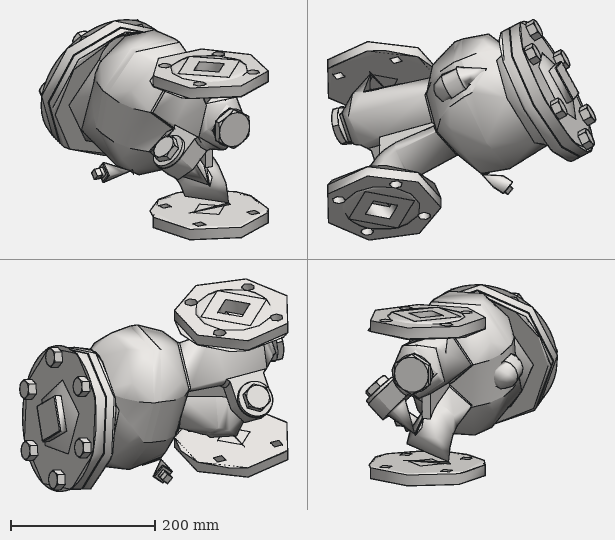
import cadquery as cq
import math

INLET_FILLET = 4.0
OUTLET_FILLET = 2.0
PIPE_FILLET = 3.0
COLUMN_FILLET = 4.0
DRAIN_FILLET = 3.0
JOINT_TOLERANCE = 0.05

FACE_TO_FACE = 230.0
FLANGE_DIA = 165.0
FLANGE_THICKNESS = 20.0
RAISED_FACE_DIA = 102.0
RAISED_FACE_HEIGHT = 3.0
RAISED_FACE_FILLET = 2.9
FLANGE_BACK_ROUND = 1.5
BORE_DIA = 50.0
BOLT_HOLE_DIA = 18.0
BOLT_HOLE_CIRCLE = 125.0
BOLT_HOLE_COUNT = 4
FIRST_BOLT_HOLE_ANGLE = 45.0
FLANGE_BACK = FACE_TO_FACE / 2 - FLANGE_THICKNESS

TILT = 15.0
TILT_SIN = math.sin(math.radians(TILT))
TILT_COS = math.cos(math.radians(TILT))
BODY_DIA = 144.5
BODY_RADIUS = BODY_DIA / 2
COVER_AXIS_T = -60.0
BULB_AXIS_T = 2.5
CHAMBER_START_S = -166.0
CHAMBER_END_S = -154.0
BULB_END_RISE = 1.8

COVER_DIA = 205.0
COVER_FACE_S = -264.2
COVER_THICKNESS = 18.0
COVER_CHAMFER = 1.0
GASKET_THICKNESS = 1.0
GASKET_DIA = 203.0
BODY_FLANGE_THICKNESS = 15.0
BODY_FLANGE_ROUND = 3.0
NECK_FLARE_DIA = 156.0
NECK_FLARE_LENGTH = 20.5
COLLAR_DIA = 79.0
COVER_CONE_DIA = 109.0
COVER_CONE_TOP_DIA = 75.0
COVER_CONE_HEIGHT = 7.0
COVER_BOSS_DIA = 73.0
COVER_BOSS_HEIGHT = 18.0
COVER_BOSS_CHAMFER = 1.5
COVER_BOLT_COUNT = 6
COVER_BOLT_CIRCLE = 170.0
COVER_BOLT_FLATS = 24.0
COVER_BOLT_HEAD = 12.6
COVER_BOLT_CORNER_ANGLE = 0.0

BULGE_RADIUS = 21.5
BULGE_AXIS_Y = 66.7
BULGE_AXIS_T = (COVER_AXIS_T + BULB_AXIS_T) / 2
BULGE_TIP_S = -195.0
BULGE_START_S = -159.0
BULGE_END_S = -135.0

INLET_PIPE_DIA = 80.0
INLET_AXIS_Z = 42.2
INLET_START_X = -130.0
INLET_CYLINDER_END_X = 32.5
INLET_END_X = 46.0
INLET_END_RADIUS = 31.0
INLET_END_ARC = 16.0
PLUG_NECK_DIA = 56.0
PLUG_NECK_END_X = 51.5
PLUG_NECK_FILLET = 8.0
PLUG_COLLAR_DIA = 54.0
PLUG_COLLAR_END_X = 54.8
PLUG_CORNER_ANGLE = 90.0
PLUG_FLATS = 49.5
PLUG_END_X = 65.3
NECK_PIPE_DIA = 65.0
NECK_LEAN = 22.0
NECK_LENGTH = 45.0

OUTLET_PIPE_DIA = 65.0
OUTLET_AXIS_T = -57.0
OUTLET_START_S = -130.0
OUTLET_END_S = -25.0
WEB_THICKNESS = 12.0

STRAINER_LEAN = 45.0
STRAINER_FACE_Y = -68.0
STRAINER_FACE_Z = 4.8
CAP_DIA = 50.0
CAP_THICKNESS = 5.5
CAP_HEX_FLATS = 33.5
CAP_HEX_HEIGHT = 10.0
CAP_CORNER_ANGLE = 90.0
HOLDER_DIA = 52.0
HOLDER_END_DEPTH = 35.0
HOLDER_FILLET = 4.0
COLUMN_DIA = 33.5

DRAIN_S = -126.0
DRAIN_T = -107.0
DRAIN_START_Y = 0.0
DRAIN_BOSS_DIA = 30.0
DRAIN_BOSS_END_Y = -79.5
DRAIN_CHAMFER = 1.5
DRAIN_COLLAR_DIA = 16.0
DRAIN_COLLAR_END_Y = -84.5
DRAIN_SQUARE = 11.0
DRAIN_SQUARE_TURN = 45.0
DRAIN_END_Y = -93.0


def along_x(diameter, start, end, z):
    """Round bar parallel to X, with its axis at Y = 0."""
    return cq.Workplane("YZ", origin=(start, 0, z)).circle(diameter / 2).extrude(end - start)


def tilted(shape):
    """Turn a shape from S, Y, T axes into X, Y, Z."""
    return shape.rotate((0, 0, 0), (0, 1, 0), TILT)


def tilted_point(s, t):
    """X and Z of a point given by its S and T."""
    return (s * TILT_COS + t * TILT_SIN, t * TILT_COS - s * TILT_SIN)


def hex_head(plane, flats, height, corner_angle):
    """Hexagon head with its outer corners chamfered to a circle across the flats."""
    across_corners = flats / math.cos(math.pi / 6)
    corner_drop = (across_corners - flats) / 2 * math.tan(math.pi / 6)
    hexagon = (
        cq.Workplane(plane)
        .transformed(rotate=(0, 0, corner_angle))
        .polygon(6, across_corners)
        .extrude(height)
    )
    blank = (
        cq.Workplane(plane)
        .circle(across_corners / 2)
        .extrude(height)
        .faces(cq.selectors.DirectionMinMaxSelector(plane.zDir, True))
        .chamfer(corner_drop, (across_corners - flats) / 2)
    )
    return hexagon.intersect(blank)


def blend(first, second, radius, curved_only=False):
    """Join two shapes and fillet the edges where their surfaces meet, or only the curved ones."""
    joined = first.union(second)
    first_skin = cq.Compound.makeCompound(first.faces().vals())
    second_skin = cq.Compound.makeCompound(second.faces().vals())

    def on_both(edge):
        for fraction in (0.1, 0.4, 0.8):
            point = cq.Vertex.makeVertex(*edge.positionAt(fraction).toTuple())
            if max(first_skin.distance(point), second_skin.distance(point)) > JOINT_TOLERANCE:
                return False
        return True

    joint_edges = [edge for edge in joined.edges().vals() if on_both(edge)]
    if curved_only:
        joint_edges = [edge for edge in joint_edges if edge.geomType() != "LINE"]
    return joined.newObject(joint_edges).fillet(radius)


def pipe_flange():
    """Flange with its raised face on top at Z = FACE_TO_FACE / 2."""
    face_z = FACE_TO_FACE / 2
    root_radius = RAISED_FACE_DIA / 2 + RAISED_FACE_FILLET
    fillet_corner = RAISED_FACE_FILLET * (1 - math.sqrt(0.5))
    shoulder_z = face_z - RAISED_FACE_HEIGHT
    fillet_top_z = shoulder_z + RAISED_FACE_FILLET
    return (
        cq.Workplane("XZ")
        .moveTo(0, FLANGE_BACK)
        .lineTo(FLANGE_DIA / 2, FLANGE_BACK)
        .lineTo(FLANGE_DIA / 2, shoulder_z)
        .lineTo(root_radius, shoulder_z)
        .threePointArc(
            (RAISED_FACE_DIA / 2 + fillet_corner, shoulder_z + fillet_corner),
            (RAISED_FACE_DIA / 2, fillet_top_z),
        )
        .lineTo(RAISED_FACE_DIA / 2, face_z)
        .lineTo(0, face_z)
        .close()
        .revolve(360, (0, 0, 0), (0, 1, 0))
        .faces("<Z")
        .edges()
        .fillet(FLANGE_BACK_ROUND)
    )


def flange_holes():
    """Bore and bolt holes of the upper flange."""
    blank = cq.Workplane("XY", origin=(0, 0, FLANGE_BACK))
    bore = blank.circle(BORE_DIA / 2).extrude(FLANGE_THICKNESS)
    bolts = (
        blank.polarArray(BOLT_HOLE_CIRCLE / 2, FIRST_BOLT_HOLE_ANGLE, 360, BOLT_HOLE_COUNT)
        .circle(BOLT_HOLE_DIA / 2)
        .extrude(FLANGE_THICKNESS)
    )
    return bore.union(bolts)


def body_flange_back():
    """S of the rear face of the body flange."""
    return COVER_FACE_S + COVER_THICKNESS + GASKET_THICKNESS + BODY_FLANGE_THICKNESS


def half_ball(s, t, side):
    """Half sphere on the plane at s; side is +1 or -1 for the S direction it bulges in."""
    return (
        cq.Workplane("XZ")
        .moveTo(s, t + BODY_RADIUS)
        .radiusArc((s + side * BODY_RADIUS, t), side * BODY_RADIUS)
        .lineTo(s, t)
        .close()
        .revolve(360, (s, t, 0), (s + 1, t, 0))
    )


def half_cylinder(s, bottom_t, top_t, side):
    """Half cylinder parallel to T, on the same plane and side as half_ball."""
    return (
        cq.Workplane("XY", origin=(s, 0, bottom_t))
        .moveTo(0, BODY_RADIUS)
        .radiusArc((0, -BODY_RADIUS), side * BODY_RADIUS)
        .close()
        .extrude(top_t - bottom_t)
    )


def chambers():
    """Lower and upper chambers joined by straight sides, with the flared neck (S, Y, T axes)."""
    flange_back = body_flange_back()
    upper_end_t = BULB_AXIS_T + BULB_END_RISE
    near_gap = BULB_AXIS_T - COVER_AXIS_T
    far_gap = upper_end_t - COVER_AXIS_T

    near_bulb = half_cylinder(CHAMBER_START_S, COVER_AXIS_T, BULB_AXIS_T, -1)
    near_bulb = near_bulb.union(half_ball(CHAMBER_START_S, BULB_AXIS_T, -1))
    ahead_of_flange = cq.Workplane("XY", origin=(flange_back, 0, 0)).box(
        CHAMBER_START_S - flange_back, 2 * BODY_DIA, 4 * BODY_DIA, centered=(False, True, True)
    )
    near = near_bulb.intersect(ahead_of_flange)
    near = near.union(along_x(BODY_DIA, flange_back, CHAMBER_START_S, z=COVER_AXIS_T))

    middle = (
        cq.Workplane("YZ", origin=(CHAMBER_START_S, 0, COVER_AXIS_T + near_gap / 2))
        .slot2D(near_gap + BODY_DIA, BODY_DIA, 90)
        .workplane(offset=CHAMBER_END_S - CHAMBER_START_S)
        .center(0, BULB_END_RISE / 2)
        .slot2D(far_gap + BODY_DIA, BODY_DIA, 90)
        .loft(ruled=True)
    )

    far = half_cylinder(CHAMBER_END_S, COVER_AXIS_T, upper_end_t, 1)
    far = far.union(half_ball(CHAMBER_END_S, COVER_AXIS_T, 1))
    far = far.union(half_ball(CHAMBER_END_S, upper_end_t, 1))

    flare = (
        cq.Workplane("YZ", origin=(flange_back, 0, COVER_AXIS_T))
        .circle(NECK_FLARE_DIA / 2)
        .workplane(offset=NECK_FLARE_LENGTH)
        .circle(BODY_RADIUS)
        .loft()
    )
    collar = along_x(COLLAR_DIA, flange_back, CHAMBER_START_S, z=BULB_AXIS_T)
    return near.union(flare).union(middle).union(far).union(collar)


def body_bulge():
    """Round-ended bulge with a conical start on the +Y side (S, Y, T axes)."""
    return (
        cq.Workplane("XY")
        .moveTo(BULGE_TIP_S, 0)
        .lineTo(BULGE_START_S, BULGE_RADIUS)
        .lineTo(BULGE_END_S, BULGE_RADIUS)
        .radiusArc((BULGE_END_S + BULGE_RADIUS, 0), BULGE_RADIUS)
        .close()
        .revolve(360, (0, 0, 0), (1, 0, 0))
        .translate((0, BULGE_AXIS_Y, BULGE_AXIS_T))
    )


def cover():
    """Body flange, gasket and cover with its boss and bolts (S, Y, T axes)."""
    gasket_s = COVER_FACE_S + COVER_THICKNESS
    body_flange_s = gasket_s + GASKET_THICKNESS
    plate = along_x(COVER_DIA, COVER_FACE_S, gasket_s, z=COVER_AXIS_T).faces("<X").chamfer(COVER_CHAMFER)
    gasket = along_x(GASKET_DIA, gasket_s, body_flange_s, z=COVER_AXIS_T)
    body_flange = along_x(COVER_DIA, body_flange_s, body_flange_back(), z=COVER_AXIS_T)
    body_flange = body_flange.faces(">X").edges().fillet(BODY_FLANGE_ROUND)
    cone = (
        cq.Workplane("YZ", origin=(COVER_FACE_S, 0, COVER_AXIS_T))
        .circle(COVER_CONE_DIA / 2)
        .workplane(offset=-COVER_CONE_HEIGHT)
        .circle(COVER_CONE_TOP_DIA / 2)
        .loft()
    )
    boss = along_x(COVER_BOSS_DIA, COVER_FACE_S - COVER_BOSS_HEIGHT, COVER_FACE_S, z=COVER_AXIS_T)
    boss = boss.faces("<X").chamfer(COVER_BOSS_CHAMFER)
    shape = body_flange.union(gasket).union(plate).union(cone).union(boss)
    for index in range(COVER_BOLT_COUNT):
        angle = 2 * math.pi * index / COVER_BOLT_COUNT
        bolt_y = COVER_BOLT_CIRCLE / 2 * math.cos(angle)
        bolt_t = COVER_AXIS_T + COVER_BOLT_CIRCLE / 2 * math.sin(angle)
        plane = cq.Plane(origin=(COVER_FACE_S, bolt_y, bolt_t), xDir=(0, 1, 0), normal=(-1, 0, 0))
        bolt = hex_head(plane, COVER_BOLT_FLATS, COVER_BOLT_HEAD, COVER_BOLT_CORNER_ANGLE)
        shape = shape.union(bolt)
    return shape


def inlet_pipe():
    """Horizontal pipe whose end rounds down to the plug neck."""
    radius = INLET_PIPE_DIA / 2
    neck_radius = PLUG_NECK_DIA / 2
    return (
        cq.Workplane("XZ")
        .moveTo(INLET_START_X, 0)
        .lineTo(INLET_START_X, radius)
        .lineTo(INLET_CYLINDER_END_X, radius)
        .radiusArc((INLET_END_X, INLET_END_RADIUS), INLET_END_ARC)
        .radiusArc((PLUG_NECK_END_X, neck_radius), -PLUG_NECK_FILLET)
        .lineTo(PLUG_NECK_END_X, 0)
        .close()
        .revolve(360, (0, 0, 0), (1, 0, 0))
        .translate((0, 0, INLET_AXIS_Z))
    )


def inlet_plug():
    """Hexagon plug with a round collar on the end of the inlet pipe."""
    collar = along_x(PLUG_COLLAR_DIA, PLUG_NECK_END_X, PLUG_COLLAR_END_X, z=INLET_AXIS_Z)
    plane = cq.Plane(origin=(PLUG_COLLAR_END_X, 0, INLET_AXIS_Z), xDir=(0, 1, 0), normal=(1, 0, 0))
    return collar.union(hex_head(plane, PLUG_FLATS, PLUG_END_X - PLUG_COLLAR_END_X, PLUG_CORNER_ANGLE))


def inlet_neck():
    """Leaning pipe from the upper flange into the inlet pipe."""
    lean = math.radians(NECK_LEAN)
    down = cq.Plane(
        origin=(0, 0, FLANGE_BACK),
        xDir=(0, 1, 0),
        normal=(math.sin(lean), 0, -math.cos(lean)),
    )
    neck = cq.Workplane(down).circle(NECK_PIPE_DIA / 2).extrude(NECK_LENGTH, both=True)
    below_flange = cq.Workplane("XY").box(FLANGE_DIA, FLANGE_DIA, FLANGE_BACK, centered=(True, True, False))
    return neck.intersect(below_flange)


def outlet_pipe():
    """Tilted pipe and the elbow that turns it down onto the lower flange."""
    start = tilted_point(OUTLET_START_S, OUTLET_AXIS_T)
    bend = tilted_point(OUTLET_END_S, OUTLET_AXIS_T)
    elbow_radius = -bend[0] / (1 - TILT_SIN)
    elbow_bottom = bend[1] - elbow_radius * TILT_COS
    path = (
        cq.Workplane("XZ")
        .moveTo(*start)
        .lineTo(*bend)
        .radiusArc((0, elbow_bottom), elbow_radius)
    )
    section = cq.Plane(origin=(start[0], 0, start[1]), xDir=(0, 1, 0), normal=(TILT_COS, 0, -TILT_SIN))
    return cq.Workplane(section).circle(OUTLET_PIPE_DIA / 2).sweep(path)


def web():
    """Plate in the XZ plane between the inlet and outlet pipes."""
    outline = [
        (INLET_START_X, INLET_AXIS_Z),
        (0, INLET_AXIS_Z),
        (0, OUTLET_AXIS_T),
        (INLET_START_X, OUTLET_AXIS_T - INLET_START_X * math.tan(math.radians(TILT))),
    ]
    return cq.Workplane("XZ").polyline(outline).close().extrude(WEB_THICKNESS / 2, both=True)


def strainer_plane(depth):
    """Plane square to the strainer axis, at a depth behind the cap face."""
    lean = math.radians(STRAINER_LEAN)
    outward = cq.Vector(0, -math.sin(lean), math.cos(lean))
    origin = cq.Vector(0, STRAINER_FACE_Y, STRAINER_FACE_Z) - outward * depth
    return cq.Plane(origin=origin, xDir=(1, 0, 0), normal=outward)


def strainer_column():
    """Slim cylinder from the holder down to the elbow axis."""
    length = -STRAINER_FACE_Y / math.sin(math.radians(STRAINER_LEAN))
    return cq.Workplane(strainer_plane(length)).circle(COLUMN_DIA / 2).extrude(length - CAP_THICKNESS)


def inlet_offset():
    """Distance of the inlet pipe axis above the strainer axis, square to the strainer axis."""
    lean = math.radians(STRAINER_LEAN)
    return -STRAINER_FACE_Y * math.cos(lean) + (INLET_AXIS_Z - STRAINER_FACE_Z) * math.sin(lean)


def strainer_holder():
    """Holder with a round bottom and straight sides that run up into the inlet pipe."""
    height = inlet_offset()
    length = HOLDER_END_DEPTH - CAP_THICKNESS
    bottom = cq.Workplane(strainer_plane(HOLDER_END_DEPTH))
    return (
        bottom
        .moveTo(-HOLDER_DIA / 2, 0)
        .threePointArc((0, -HOLDER_DIA / 2), (HOLDER_DIA / 2, 0))
        .lineTo(HOLDER_DIA / 2, height)
        .lineTo(-HOLDER_DIA / 2, height)
        .close()
        .extrude(length)
    )


def strainer_cap():
    """Round cap of the holder with its hexagon head."""
    cap = cq.Workplane(strainer_plane(CAP_THICKNESS)).circle(CAP_DIA / 2).extrude(CAP_THICKNESS)
    return cap.union(hex_head(strainer_plane(0), CAP_HEX_FLATS, CAP_HEX_HEIGHT, CAP_CORNER_ANGLE))


def drain():
    """Drain boss with a collared square plug pointing to -Y."""
    x, z = tilted_point(DRAIN_S, DRAIN_T)

    def stage(start_y):
        return cq.Workplane("XZ", origin=(x, start_y, z))

    boss = stage(DRAIN_START_Y).circle(DRAIN_BOSS_DIA / 2).extrude(DRAIN_START_Y - DRAIN_BOSS_END_Y)
    boss = boss.faces("<Y").chamfer(DRAIN_CHAMFER)
    collar_length = DRAIN_BOSS_END_Y - DRAIN_COLLAR_END_Y
    collar = stage(DRAIN_BOSS_END_Y).circle(DRAIN_COLLAR_DIA / 2).extrude(collar_length)
    square = (
        stage(DRAIN_COLLAR_END_Y)
        .transformed(rotate=(0, 0, DRAIN_SQUARE_TURN))
        .rect(DRAIN_SQUARE, DRAIN_SQUARE)
        .extrude(DRAIN_COLLAR_END_Y - DRAIN_END_Y)
    )
    return boss.union(collar).union(square)


upper_flange = pipe_flange()
lower_flange = upper_flange.mirror("XY")

inlet = blend(inlet_pipe(), strainer_holder(), HOLDER_FILLET, curved_only=True)
inlet = blend(blend(inlet, inlet_neck(), PIPE_FILLET), upper_flange, PIPE_FILLET)
outlet = blend(blend(outlet_pipe(), strainer_column(), COLUMN_FILLET), lower_flange, PIPE_FILLET)
body = blend(tilted(chambers()), drain(), DRAIN_FILLET)
body = blend(body, inlet, INLET_FILLET)
body = blend(body, outlet, OUTLET_FILLET)
body = body.union(web()).union(strainer_cap()).union(inlet_plug()).union(tilted(body_bulge()))
result = body.union(tilted(cover())).cut(flange_holes()).cut(flange_holes().mirror("XY"))